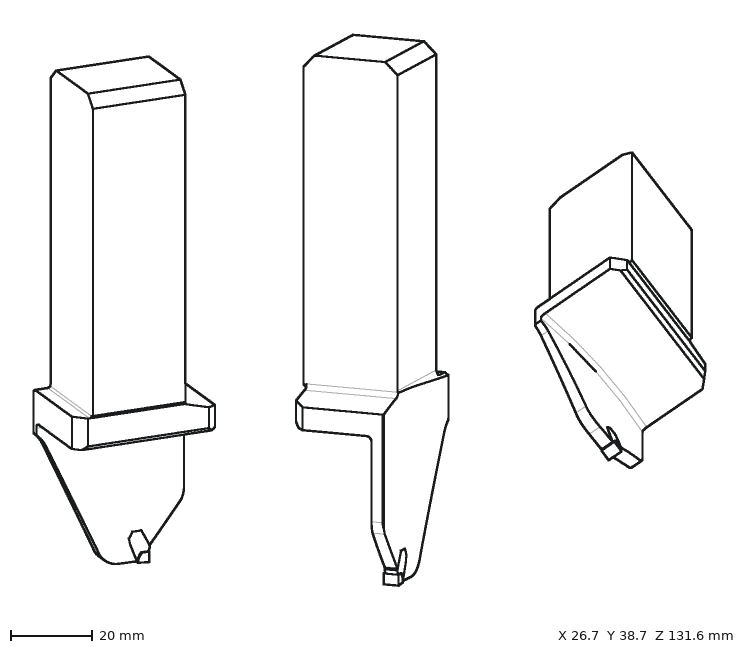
import cadquery as cq
import math


shank_size = 25.0
total_height = 131.6
shoulder_z = 47.8
end_chamfer_left = 3.3
end_chamfer_right = 2.9
end_chamfer_drop = 3.0
foot_chamfer = 0.8

head_front_y = -4.0
head_back_y = 34.7
flange_right_x = shank_size - foot_chamfer
flange_bottom_z = 39.3
flange_corner = 3.0
flange_bottom_chamfer = 1.2
blade_fillet = 1.3
neck_fillet_front = 0.5
neck_fillet_back = 1.3
back_top_z = 45.1

crest_y = shank_size
edge_chamfer = 0.3
blade_left_x = -0.1
blade_right_x = 3.3
left_sag = 1.6
right_sag = 3.0

front_foot_z = 36.2
front_arc_mid = (-2.6, 34.9)
front_arc_end = (-1.6, 33.2)
nose_start = (11.6, 4.5)
nose_mid = (13.7, 1.6)
nose_end_y = 16.8
blade_bottom_z = 0.5
seat_edge = (25.5, 4.6)
back_arc_end = (34.0, 14.9)
back_arc_mid = (34.5, 16.2)
back_arc_start_z = 17.9

ledge_top_z = 49.1
ledge_mid = (-0.4, 48.0)
ledge_foot_z = 47.1

insert_top_z = 8.4
insert_front_corners = [(20.0, 5.3), (19.7, 6.7), (20.7, insert_top_z)]
insert_back_corners = [(23.0, insert_top_z), (24.6, 5.5), (25.4, 4.0)]
head_left_x = -0.3
head_right_x = 3.7
heel_y = 22.0
heel_z = 0.3
head_top_z = 2.8
chip_wall_y = 23.0
chip_wall_mid = (22.4, 1.8)


def sag_radius(sag):
    """Radius of an arc that drops by sag between its crest and the front edge chamfer."""
    half_chord = crest_y - head_front_y - edge_chamfer
    return (half_chord ** 2 + sag ** 2) / (2 * sag)


def arc_point(crest_x, sag, y):
    """Point at a given Y on a blade face in plan."""
    radius = sag_radius(sag)
    return crest_x - radius + math.sqrt(radius ** 2 - (y - crest_y) ** 2), y


def left_point(y):
    return arc_point(blade_left_x, left_sag, y)


def right_point(y):
    return arc_point(blade_right_x, right_sag, y)


mid_y = (head_front_y + head_back_y) / 2


def left_face_path(z):
    """Plan path along the blade's left face, with a chamfer at each end."""
    front = left_point(head_front_y + edge_chamfer)
    back = left_point(head_back_y - edge_chamfer)
    return (
        cq.Workplane("XY", origin=(0, 0, z))
        .moveTo(front[0] + edge_chamfer, head_front_y)
        .lineTo(*front)
        .threePointArc(left_point(mid_y), back)
        .lineTo(back[0] + edge_chamfer, head_back_y)
    )


def prism_along_x(outline):
    """Extrude a YZ outline well past the head on both sides."""
    return outline.close().extrude(2 * shank_size, both=True)


def make_shank():
    side_z = total_height - end_chamfer_drop
    outline = [
        (0, shoulder_z),
        (flange_right_x, shoulder_z),
        (shank_size, shoulder_z + foot_chamfer),
        (shank_size, side_z),
        (shank_size - end_chamfer_right, total_height),
        (end_chamfer_left, total_height),
        (0, side_z),
    ]
    return cq.Workplane("XZ").polyline(outline).close().extrude(-shank_size)


def make_blade():
    return (
        left_face_path(0)
        .lineTo(*right_point(head_back_y))
        .threePointArc(right_point(mid_y), right_point(head_front_y))
        .close()
        .extrude(shoulder_z)
    )


def make_flange():
    plan = (
        left_face_path(flange_bottom_z)
        .lineTo(flange_right_x - flange_corner, head_back_y)
        .lineTo(flange_right_x, head_back_y - flange_corner)
        .lineTo(flange_right_x, head_front_y + flange_corner)
        .lineTo(flange_right_x - flange_corner, head_front_y)
        .close()
        .extrude(ledge_top_z - flange_bottom_z)
    )
    return plan.edges(cq.selectors.NearestToPointSelector(
        (flange_right_x, mid_y, flange_bottom_z))).chamfer(flange_bottom_chamfer)


def head_side_outline():
    """Solid that limits the head to its YZ outline, neck fillets included."""
    sag_ratio = 1 - math.sqrt(0.5)
    front_sag = neck_fillet_front * sag_ratio
    back_sag = neck_fillet_back * sag_ratio
    slope = (shoulder_z - back_top_z) / (head_back_y - shank_size)
    back_neck_y = shank_size + neck_fillet_back
    back_neck_z = shoulder_z - slope * neck_fillet_back
    back_neck_mid = (shank_size + back_sag, back_neck_z + back_sag)
    back_neck_top = (shank_size, back_neck_z + neck_fillet_back)
    return prism_along_x(
        cq.Workplane("YZ")
        .moveTo(head_front_y, shoulder_z)
        .lineTo(head_front_y, front_foot_z)
        .threePointArc(front_arc_mid, front_arc_end)
        .lineTo(*nose_start)
        .threePointArc(nose_mid, (nose_end_y, blade_bottom_z))
        .lineTo(heel_y, blade_bottom_z)
        .lineTo(*seat_edge)
        .lineTo(*back_arc_end)
        .threePointArc(back_arc_mid, (head_back_y, back_arc_start_z))
        .lineTo(head_back_y, back_top_z)
        .lineTo(back_neck_y, back_neck_z)
        .threePointArc(back_neck_mid, back_neck_top)
        .lineTo(shank_size, ledge_top_z)
        .lineTo(0, ledge_top_z)
        .lineTo(0, shoulder_z + neck_fillet_front)
        .threePointArc((-front_sag, shoulder_z + front_sag), (-neck_fillet_front, shoulder_z))
    )


def ledge_cutter():
    """Material removed above the concave ledge beside the shank's left face."""
    return (
        cq.Workplane("XZ", origin=(0, head_back_y, 0))
        .moveTo(0, ledge_top_z)
        .threePointArc(ledge_mid, (blade_left_x - left_sag, ledge_foot_z))
        .lineTo(blade_left_x - left_sag, ledge_top_z)
        .close()
        .extrude(head_back_y - head_front_y)
    )


def insert_body_outline():
    return prism_along_x(
        cq.Workplane("YZ").polyline([
            (heel_y, heel_z),
            *insert_front_corners,
            *insert_back_corners,
            (crest_y, head_top_z),
            (crest_y, 0),
        ])
    )


def make_insert():
    body = make_blade().intersect(insert_body_outline())
    head = (
        cq.Workplane("YZ", origin=(head_left_x, 0, 0))
        .moveTo(heel_y, heel_z)
        .threePointArc(chip_wall_mid, (chip_wall_y, head_top_z))
        .lineTo(crest_y, head_top_z)
        .lineTo(crest_y, 0)
        .close()
        .extrude(head_right_x - head_left_x)
    )
    return body.union(head)


def make_holder(insert):
    head = make_blade().union(make_flange())
    corner = cq.selectors.NearestToPointSelector((*right_point(mid_y), flange_bottom_z))
    head = head.edges(corner).fillet(blade_fillet)
    head = head.intersect(head_side_outline()).cut(ledge_cutter())
    return head.union(make_shank()).cut(insert)


insert = make_insert()
holder = make_holder(insert)
result = cq.Compound.makeCompound([holder.val(), insert.val()])